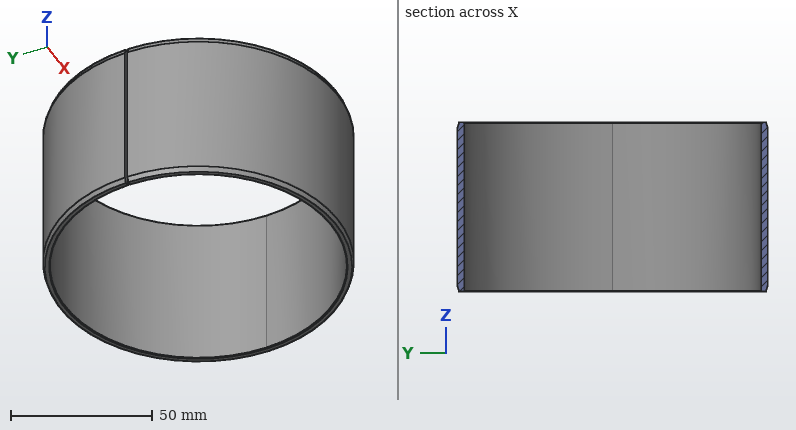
import cadquery as cq

outer_diameter = 110.0
wall = 2.5
height = 60.0
outer_chamfer_height = 2.0
outer_chamfer_depth = 0.7
inner_chamfer = 0.3
slit_width = 1.0

outer_radius = outer_diameter / 2
inner_radius = outer_radius - wall
half_height = height / 2

wall_profile = (
    cq.Workplane("XZ")
    .moveTo(inner_radius, -half_height + inner_chamfer)
    .lineTo(inner_radius + inner_chamfer, -half_height)
    .lineTo(outer_radius - outer_chamfer_depth, -half_height)
    .lineTo(outer_radius, -half_height + outer_chamfer_height)
    .lineTo(outer_radius, half_height - outer_chamfer_height)
    .lineTo(outer_radius - outer_chamfer_depth, half_height)
    .lineTo(inner_radius + inner_chamfer, half_height)
    .lineTo(inner_radius, half_height - inner_chamfer)
    .close()
)
ring = wall_profile.revolve(360, (0, 0, 0), (0, 1, 0))

slit = cq.Workplane("XY").box(outer_radius, slit_width, height).translate((-outer_radius, slit_width / 2, 0))

result = ring.cut(slit)